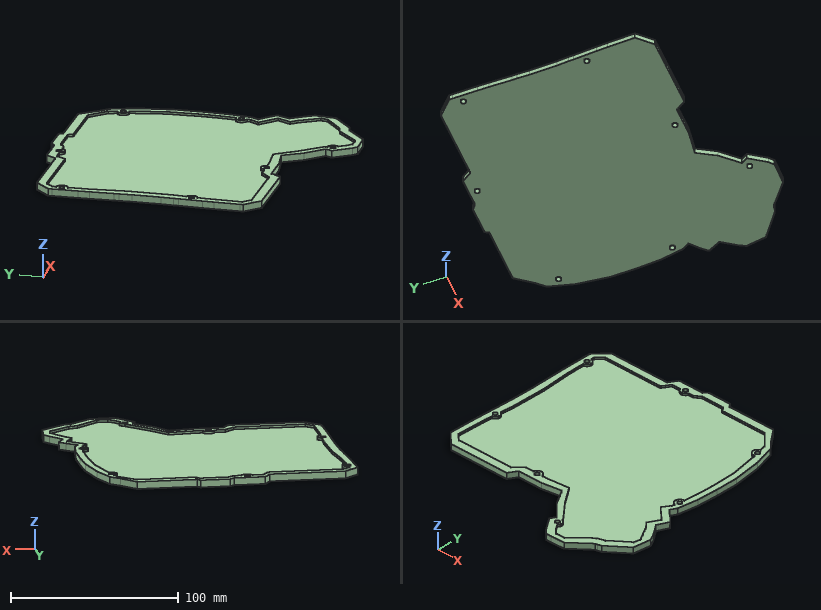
import cadquery as cq

THICKNESS = 4.5
POCKET_DEPTH = 1.5
SCREW_HOLE_DIAMETER = 3.2
BOSS_DIAMETER = 7.2

BLOCK_HALF_HEIGHT = 69.3
CORNER_CHAMFER = 9.2
STEP_START_X = 55.1
STEP_END_X = 59.0
TOP_Y = 75.7
BOTTOM_Y = -62.8
CREST_Y = 78.3

POCKET_LEFT_X = 4.7
POCKET_BLOCK_TOP_Y = 63.4
POCKET_BLOCK_BOTTOM_Y = -63.0
POCKET_TOP_Y = 69.5
POCKET_BOTTOM_Y = -56.9
POCKET_CREST_Y = 72.5
POCKET_CORNER_CHAMFER = 4.7

left_wall_lower = [
    (0, CORNER_CHAMFER - BLOCK_HALF_HEIGHT),
    (0, -58.0),
    (0.2, -42.0),
    (0.4, -34.8),
    (0.9, -20.0),
    (0.9, -16.7),
    (1.3, -9.0),
]
left_wall_upper = [(x, -y) for x, y in reversed(left_wall_lower)]

outer_top_edge = [
    (CORNER_CHAMFER, BLOCK_HALF_HEIGHT),
    (STEP_START_X, BLOCK_HALF_HEIGHT),
    (STEP_END_X, TOP_Y),
    (78.0, TOP_Y),
    (81.0, CREST_Y),
    (98.9, CREST_Y),
    (100.5, TOP_Y),
    (137.0, TOP_Y),
]
outer_right_edge = [
    (145.4, 64.8),
    (150.6, 59.2),
    (155.5, 42.7),
    (158.5, 21.2),
    (158.7, 4.5),
    (158.1, -11.7),
    (156.0, -26.5),
]
outer_thumb_cluster = [
    (153.5, -31.2),
    (159.5, -36.6),
    (163.2, -40.5),
    (159.4, -48.8),
    (165.8, -58.0),
    (168.4, -62.6),
    (166.7, -76.0),
    (151.8, -87.8),
    (149.2, -88.7),
    (147.4, -88.8),
    (133.2, -100.9),
    (122.5, -101.2),
    (118.8, -101.2),
    (115.8, -98.5),
    (108.2, -87.8),
    (110.4, -83.6),
    (99.8, -72.5),
    (92.6, -60.5),
]
outer_bottom_edge = [
    (77.5, BOTTOM_Y),
    (STEP_END_X, BOTTOM_Y),
    (STEP_START_X, -BLOCK_HALF_HEIGHT),
    (CORNER_CHAMFER, -BLOCK_HALF_HEIGHT),
]
outer_outline = (
    outer_top_edge
    + outer_right_edge
    + outer_thumb_cluster
    + outer_bottom_edge
    + left_wall_lower
    + left_wall_upper
)

pocket_top_edge = [
    (POCKET_LEFT_X + POCKET_CORNER_CHAMFER, POCKET_BLOCK_TOP_Y),
    (STEP_START_X, POCKET_BLOCK_TOP_Y),
    (STEP_END_X, POCKET_TOP_Y),
    (76.6, POCKET_TOP_Y),
    (81.0, POCKET_CREST_Y),
    (98.5, POCKET_CREST_Y),
    (100.2, POCKET_TOP_Y),
    (136.0, POCKET_TOP_Y),
]
pocket_right_edge = [
    (145.7, 59.5),
    (149.2, 46.7),
    (153.3, 25.1),
    (154.0, 4.5),
    (153.8, -4.3),
    (153.0, -18.0),
    (151.5, -27.0),
]
pocket_thumb_cluster = [
    (147.7, -32.7),
    (158.0, -42.4),
    (153.3, -50.8),
    (156.9, -55.0),
    (163.9, -67.0),
    (163.0, -71.6),
    (149.3, -82.2),
    (143.6, -84.0),
    (129.6, -97.0),
    (123.0, -97.0),
    (120.0, -94.6),
    (116.7, -89.5),
    (114.7, -82.4),
    (102.8, -68.5),
    (93.5, -55.3),
]
pocket_bottom_edge = [
    (77.5, POCKET_BOTTOM_Y),
    (STEP_END_X, POCKET_BOTTOM_Y),
    (52.6, POCKET_BLOCK_BOTTOM_Y),
    (POCKET_LEFT_X + POCKET_CORNER_CHAMFER, POCKET_BLOCK_BOTTOM_Y),
]
pocket_left_edge = [
    (POCKET_LEFT_X, POCKET_BLOCK_BOTTOM_Y + POCKET_CORNER_CHAMFER),
    (5.2, -35.9),
    (7.0, -13.5),
    (7.0, 13.5),
    (5.2, 35.9),
    (POCKET_LEFT_X, POCKET_BLOCK_TOP_Y - POCKET_CORNER_CHAMFER),
]
pocket_outline = (
    pocket_top_edge
    + pocket_right_edge
    + pocket_thumb_cluster
    + pocket_bottom_edge
    + pocket_left_edge
)

screw_positions = [
    (4.5, 52.8),
    (69.1, 70.5),
    (148.0, 50.6),
    (152.5, -21.2),
    (114.3, -87.0),
    (5.0, -27.0),
    (69.1, -57.5),
]


def prism(outline, height):
    """Extrude a closed polygon upward from Z = 0."""
    return cq.Workplane("XY").polyline(outline).close().extrude(height)


def cylinders(diameter, height):
    """One upright cylinder at every screw position."""
    return cq.Workplane("XY").pushPoints(screw_positions).circle(diameter / 2).extrude(height)


plate = prism(outer_outline, THICKNESS)

pocket = prism(pocket_outline, POCKET_DEPTH).cut(cylinders(BOSS_DIAMETER, POCKET_DEPTH))
pocket = pocket.translate((0, 0, THICKNESS - POCKET_DEPTH))

result = plate.cut(pocket).cut(cylinders(SCREW_HOLE_DIAMETER, THICKNESS))